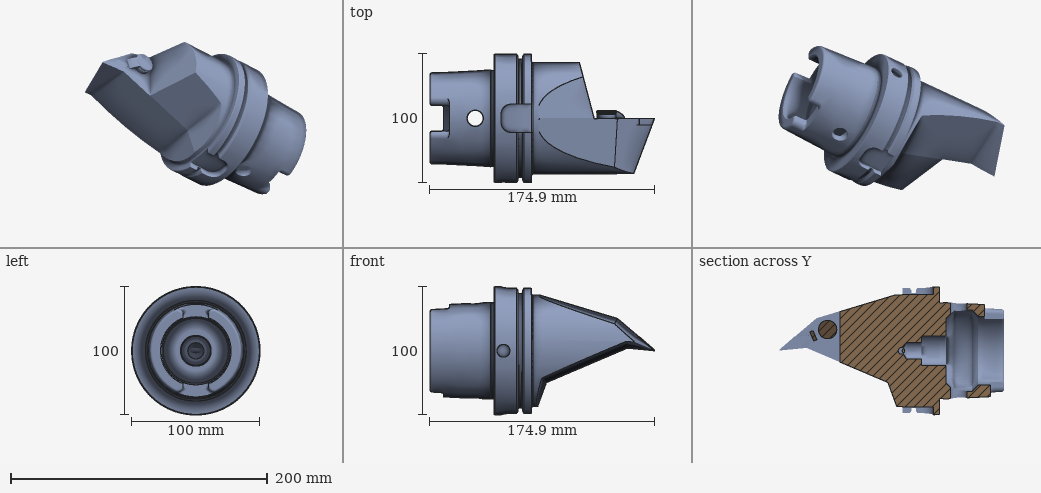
import cadquery as cq
import math


shank_length = 50.0
taper_end_radius = 37.75
taper_end_x = -2.7
taper_slope = 1 / 20
relief_radius = 37.4
face_relief_radius = 39.3
face_relief_depth = 0.3
shank_edge_fillet = 1.8

keyway_width = 20.0
keyway_floors = [(1, -34.8), (-1, -39.5)]
keyway_floor_fillet = 1.8
keyway_corner_radius = 4.0

bore_radius = 26.5
bore_mouth_radius = 27.5
bore_depth = 20.0
undercut_radius = 31.5
bore_floor_radius = 25.3
bore_floor_x = -5.0
thread_radius = 11.3
thread_mouth_radius = 12.0
thread_end_x = 14.0
coolant_radius = 6.3
coolant_end_x = 26.0
coolant_tip_angle = 118.0
cross_channel_radius = 2.5
cross_channel_length = 24.0
access_hole_x = -14.8
access_hole_radius = 6.2

flange_radius = 50.0
flange_length = 29.0
flange_chamfer = 0.5
rim_taper_length = 0.9
rim_taper_depth = 0.2
groove_radius = 46.0
groove_left_x = 18.6
groove_right_x = 22.0
groove_chamfer_width = 1.3
groove_chamfer_depth = 1.8
groove_fillet = 0.7
slot_width = 22.0
slot_start_x = 5.3
slot_floor_z = 44.0
slot_corner_radius = 8.0
chip_hole_x = 7.2
chip_hole_radius = 5.0
chip_hole_depth = 5.0

tip_x = 124.88
head_radius = 43.5
neck_fillet = 1.0
nose_draft = 7.0
main_draft = 6.0
nose_radius = 0.4
shoulder = (95.9, 25.2)
lower_knee = (103.6, 2.0)
heel = (40.6, -24.8)
upper_slope = math.radians(16.8)
heel_slope = math.radians(70.0)
outline_reach = 60.0
rake_step = 0.3
wall_seat_x = 77.9
wall_angle = 14.8

insert_edge = 16.6
insert_angle = 35.0
insert_thickness = 5.1
upper_edge_angle = math.radians(139.0)

clamp_height = 5.9
clamp_back_x = 79.7
clamp_rim_radius = 7.7
clamp_rim_bottom = 4.6
clamp_top_chamfer = 0.5
clamp_disc_radius = 7.3
clamp_groove_bottom = 2.8
clamp_groove_top = 3.9
clamp_groove_depth = 0.3
clamp_tip_x = 101.5
clamp_finger_width = 8.0
clamp_tip_height = 0.9
clamp_lip_length = 3.0
clamp_clearance = 0.4
clamp_slope_length = 8.2
clamp_slope_radius = 14.0


def revolve_x(points):
    """Revolve an outline of (x, radius) points round the X axis."""
    return cq.Workplane("XZ").polyline(points).close().revolve(360, (0, 0, 0), (1, 0, 0))


def polar(point, distance, angle):
    return (point[0] + distance * math.cos(angle), point[1] + distance * math.sin(angle))


def taper_radius(x):
    return taper_end_radius + (x - taper_end_x) * taper_slope


def make_shank():
    groove_flank = taper_end_radius - relief_radius
    shank = revolve_x([
        (-shank_length, 0),
        (-shank_length, taper_radius(-shank_length)),
        (taper_end_x, taper_end_radius),
        (taper_end_x + groove_flank, relief_radius),
        (face_relief_depth, relief_radius),
        (face_relief_depth, 0),
    ])
    for side, floor_x in keyway_floors:
        shank = shank.cut(keyway(side, floor_x))
    return round_lugs(shank)


def keyway(side, floor_x):
    """Tool that cuts one keyway: an open slot on one side of the shank axis."""
    length = floor_x + shank_length
    slot = cq.Workplane("XY").box(length, keyway_width, flange_radius, centered=(False, True, False))
    slot = slot.translate((-shank_length, 0, 0))
    return slot if side > 0 else slot.mirror("XY")


def round_lugs(shank):
    """Round the lug corners, the keyway floor corners and the shank end."""
    half_width = keyway_width / 2
    corner_z = math.sqrt(taper_radius(-shank_length) ** 2 - half_width ** 2)
    for side, floor_x in keyway_floors:
        for y in (-half_width, half_width):
            middle = ((floor_x - shank_length) / 2, y, side * corner_z)
            corner = cq.selectors.NearestToPointSelector(middle)
            shank = shank.edges(corner).fillet(keyway_corner_radius)
    for side, floor_x in keyway_floors:
        for y in (-half_width, half_width):
            wall_foot = cq.selectors.NearestToPointSelector((floor_x, y, side * corner_z / 2))
            shank = shank.edges(wall_foot).fillet(keyway_floor_fillet)
    return shank.faces("<X").edges().fillet(shank_edge_fillet)


def access_hole():
    return (
        cq.Workplane("XY", origin=(access_hole_x, 0, 0)).circle(access_hole_radius)
        .extrude(flange_radius, both=True)
    )


def shank_bores():
    mouth = bore_mouth_radius - bore_radius
    step_x = bore_depth - shank_length
    tip = coolant_radius / math.tan(math.radians(coolant_tip_angle / 2))
    thread_mouth = thread_mouth_radius - thread_radius
    bores = revolve_x([
        (-shank_length, 0),
        (-shank_length, bore_mouth_radius),
        (-shank_length + mouth, bore_radius),
        (step_x, bore_radius),
        (step_x + undercut_radius - bore_radius, undercut_radius),
        (bore_floor_x - undercut_radius + bore_floor_radius, undercut_radius),
        (bore_floor_x, bore_floor_radius),
        (bore_floor_x, thread_mouth_radius),
        (bore_floor_x + thread_mouth, thread_radius),
        (thread_end_x, thread_radius),
        (thread_end_x, coolant_radius),
        (coolant_end_x, coolant_radius),
        (coolant_end_x + tip, 0),
    ])
    cross_channel = (
        cq.Workplane("XZ", origin=(coolant_end_x + tip, 0, 0)).circle(cross_channel_radius)
        .extrude(cross_channel_length / 2, both=True)
    )
    return bores.union(cross_channel)


def make_flange():
    flange = revolve_x([
        (face_relief_depth, 0),
        (face_relief_depth, face_relief_radius - face_relief_depth),
        (0, face_relief_radius),
        (0, flange_radius - flange_chamfer),
        (flange_chamfer, flange_radius),
        (flange_length - rim_taper_length, flange_radius),
        (flange_length, flange_radius - rim_taper_depth),
        (flange_length, 0),
    ])
    slot = flange_slot()
    return flange.cut(gripper_groove()).cut(slot).cut(slot.mirror("XY")).cut(chip_hole())


def gripper_groove():
    shoulder_radius = flange_radius - groove_chamfer_depth
    groove = revolve_x([
        (groove_left_x - groove_chamfer_width, flange_radius),
        (groove_left_x, shoulder_radius),
        (groove_left_x, groove_radius),
        (groove_right_x, groove_radius),
        (groove_right_x, shoulder_radius),
        (groove_right_x + groove_chamfer_width, flange_radius),
    ])
    return groove.edges(cq.selectors.RadiusNthSelector(0)).fillet(groove_fillet)


def flange_slot():
    """Keyway in the flange rim, open towards the cutting head."""
    length = flange_length - slot_start_x
    return (
        cq.Workplane("XY")
        .box(length, slot_width, flange_radius, centered=(False, True, False))
        .edges("|Z and <X").fillet(slot_corner_radius)
        .translate((slot_start_x, 0, slot_floor_z))
    )


def chip_hole():
    floor_y = chip_hole_depth - flange_radius
    hole = cq.Workplane("XZ", origin=(chip_hole_x, floor_y, 0)).circle(chip_hole_radius)
    return hole.extrude(2 * chip_hole_depth)


lower_edge_angle = upper_edge_angle + math.radians(insert_angle)
bisector = (upper_edge_angle + lower_edge_angle) / 2
nose_setback = nose_radius / math.sin(math.radians(insert_angle / 2))
nose_center = (tip_x - nose_radius, nose_radius)
sharp_tip = polar(nose_center, nose_setback, bisector - math.pi)


def nose_lean(depth):
    """How far the leaning nose edge falls back at a depth below the rake plane."""
    return depth * math.tan(math.radians(nose_draft)) / math.sin(math.radians(insert_angle / 2))


def round_nose(body, depth):
    """Round the nose edge, which runs from the rake plane down to about the given depth."""
    middle = polar(sharp_tip, nose_lean(depth / 2), bisector)
    nose = cq.selectors.NearestToPointSelector((middle[0], -depth / 2, middle[1]))
    return body.edges(nose).fillet(nose_radius)


def drafted(points, height, angle):
    """Extrude an (x, z) outline from the rake plane towards -Y, narrowing as it goes."""
    return cq.Workplane("XZ").polyline(points).close().extrude(height, taper=angle)


def make_head():
    far_top = polar(shoulder, 1.5 * outline_reach, math.pi - upper_slope)
    far_bottom = polar(heel, outline_reach / 2, -math.pi + heel_slope)
    outline = [
        sharp_tip, shoulder, far_top,
        (far_top[0], far_bottom[1]), far_bottom, heel, lower_knee,
    ]
    flanks = drafted(outline, head_radius + 1, nose_draft)
    flanks = flanks.union(flanks.mirror("XZ"))
    bar = cq.Workplane("YZ", origin=(flange_length, 0, 0)).circle(head_radius).extrude(tip_x)
    head = bar.intersect(flanks).cut(seat_cut())
    return round_nose(head, head_radius).union(neck())


def neck():
    """Concave fillet where the head leaves the flange."""
    return (
        cq.Workplane("XZ")
        .moveTo(flange_length, 0)
        .lineTo(flange_length, head_radius + neck_fillet)
        .radiusArc((flange_length + neck_fillet, head_radius), -neck_fillet)
        .lineTo(flange_length + neck_fillet, 0)
        .close()
        .revolve(360, (0, 0, 0), (1, 0, 0))
    )


def seat_cut():
    """Opens the rake side of the head, back to the leaning wall."""
    lean = outline_reach * math.tan(math.radians(wall_angle))
    return (
        cq.Workplane("XY")
        .polyline([
            (wall_seat_x, -rake_step),
            (wall_seat_x - lean, outline_reach - rake_step),
            (2 * tip_x, outline_reach - rake_step),
            (2 * tip_x, -rake_step),
        ]).close().extrude(outline_reach, both=True)
    )


def make_insert():
    corner_1 = polar(sharp_tip, insert_edge, upper_edge_angle)
    corner_2 = polar(corner_1, insert_edge, lower_edge_angle)
    corner_3 = polar(sharp_tip, insert_edge, lower_edge_angle)
    return drafted([sharp_tip, corner_1, corner_2, corner_3], insert_thickness, nose_draft)


clamp_center_x = clamp_back_x + clamp_rim_radius
clamp_center = polar(nose_center, (clamp_center_x - nose_center[0]) / math.cos(bisector), bisector)


def make_clamp():
    """Round clamp body with a finger that points along the insert and slopes down onto it."""
    groove_floor_radius = clamp_disc_radius - clamp_groove_depth
    body = (
        cq.Workplane("XY")
        .polyline([
            (0, -rake_step),
            (clamp_disc_radius, -rake_step),
            (clamp_disc_radius, clamp_groove_bottom),
            (groove_floor_radius, clamp_groove_bottom),
            (groove_floor_radius, clamp_groove_top),
            (clamp_disc_radius, clamp_groove_top),
            (clamp_disc_radius, clamp_rim_bottom),
            (clamp_rim_radius, clamp_rim_bottom),
            (clamp_rim_radius, clamp_height - clamp_top_chamfer),
            (clamp_rim_radius - clamp_top_chamfer, clamp_height),
            (0, clamp_height),
        ]).close().revolve(360, (0, 0, 0), (0, 1, 0))
    )
    clamp = body.union(clamp_finger())
    return (
        clamp.rotate((0, 0, 0), (0, 1, 0), math.degrees(math.pi - bisector))
        .translate((clamp_center[0], 0, clamp_center[1]))
    )


def clamp_finger():
    """Finger that runs from the clamp axis out along local X."""
    half_width = clamp_finger_width / 2
    corner_reach = half_width * math.sin(bisector)
    tip = (clamp_tip_x - clamp_center_x - corner_reach) / -math.cos(bisector)
    return (
        cq.Workplane("XY")
        .moveTo(0, clamp_clearance)
        .lineTo(tip - clamp_lip_length, clamp_clearance)
        .lineTo(tip - clamp_lip_length, 0)
        .lineTo(tip, 0)
        .lineTo(tip, clamp_tip_height)
        .radiusArc((tip - clamp_slope_length, clamp_height), -clamp_slope_radius)
        .lineTo(0, clamp_height)
        .close()
        .extrude(half_width, both=True)
    )


insert_blank = make_insert()
insert = round_nose(insert_blank, insert_thickness)
holder = make_shank().union(make_flange()).union(make_head())
holder = holder.cut(shank_bores()).cut(access_hole()).cut(insert_blank)
clamp = make_clamp()
result = cq.Compound.makeCompound([holder.val(), insert.val(), clamp.val()])